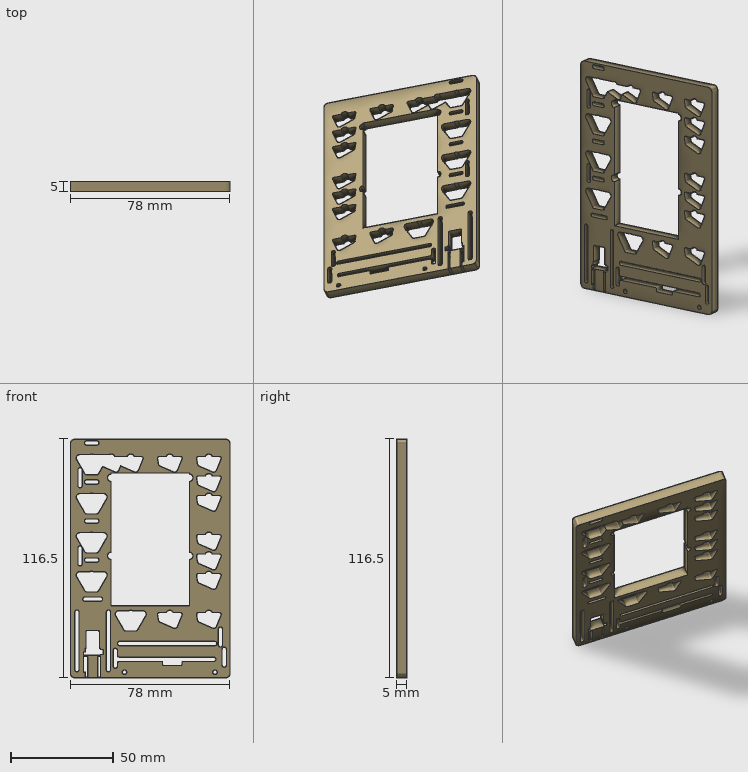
import cadquery as cq
import math

WIDTH = 78.0
THICKNESS = 5.0
HEIGHT = 116.5
CORNER_RADIUS = 2.3

WINDOW_WIDTH = 38.1
PITCH = WINDOW_WIDTH / 2
HALF_PITCH = PITCH / 2
CENTER_X = WIDTH / 2
COLUMN_X = [CENTER_X + (i - 1.5) * PITCH for i in range(4)]
BASE_ROW_Z = 31.1
TOP_ROW = 8
TRAPEZOID_ROWS = (2, 4, 6, TOP_ROW)
KITE_ROWS = (0, 2, 3, 4, 6, 7, TOP_ROW)

SIDE_ROWS = (3, 7)
SIDE_ROW_DROP = 0.1

STEM_RADIUS = 1.9
SLOT_WIDTH = 2.0

EAR_RADIUS = 1.7
WINDOW_BOTTOM = 35.3
WINDOW_TOP = 100.0

TRAPEZOID_TOP = 1.6
TRAPEZOID_BOTTOM = -8.2
TRAPEZOID_BOTTOM_HALF = 3.0
TRAPEZOID_SIDE_ANGLE = 30.0
TRAPEZOID_TOP_RADIUS = 1.6
TRAPEZOID_BOTTOM_RADIUS = 0.9

KITE_TOP_LEFT = (-6.0, 0.7)
KITE_TOP_RIGHT = (6.4, 0.7)
KITE_LOWER_RIGHT = (3.1, -7.3)
KITE_LOWER_LEFT = (-5.4, -3.6)
KITE_TOP_RADIUS = 0.8
KITE_LOWER_RADIUS = 1.4

SHORT_SLOT_LENGTH = 7.0
SHORT_SLOT_RISE = 7.3
LOWEST_SLOT_LENGTH = 9.5
LOWEST_SLOT_X = 11.0
UPRIGHT_SLOT_LENGTH = 9.7
LEFT_SLOT_X = 4.8
RIGHT_SLOT_CENTERS = ((73.3, 19.9), (75.1, 10.1))

TALL_SLOT_LENGTH = 30.0
TALL_SLOT_Z = 18.0
TALL_SLOT_XS = (3.3, 18.6)

NECK_LEFT = 7.7
NECK_RIGHT = 14.2
NECK_TOP = 23.1
NECK_RADIUS = 0.6
SHOULDER_LEFT = 7.3
SHOULDER_RIGHT = 14.7
SHOULDER_Z = 14.5
LEFT_TAB_X = 6.5
LEFT_TAB_TOP = 12.6
OPENING_BOTTOM = 11.1
RIGHT_TAB_X = 16.1
RIGHT_TAB_BOTTOM = 11.5
RIGHT_TAB_TOP = 13.7
LEG_TOP = 10.4
LEG_BOTTOM = 0.3
LEG_STEP_Z = 2.8
LEFT_LEG_RIGHT = 8.5
RIGHT_LEG_LEFT = 13.5

LONG_SLOT_LEFT = 23.1
LONG_SLOT_RIGHT = 71.5
LONG_SLOT_Z = 16.8
RAIL_RIGHT = 71.1
RAIL_Z = 9.1
RAIL_END_X = 22.0
RAIL_END_Z = 9.5
RAIL_FLARE_RADIUS = 0.9
NOTCH_LEFT = 45.1
NOTCH_RIGHT = 54.5
NOTCH_BOTTOM = 6.0
NOTCH_RADIUS = 0.6

PIN_DIAMETER = 2.1
PIN_CENTERS = ((26.5, 2.8), (70.6, 2.8))


def row_z(row):
    """Height of a grid row; rows are half a pitch apart."""
    return BASE_ROW_Z + row * HALF_PITCH


def prism(sketch):
    """Extrude an XZ sketch through the whole thickness."""
    return sketch.extrude(-THICKNESS)


def start(x, z):
    return cq.Workplane("XZ").center(x, z)


def box(left, right, bottom, top):
    sketch = start((left + right) / 2, (bottom + top) / 2)
    return prism(sketch.rect(right - left, top - bottom))


def cylinder(x, z, radius):
    return prism(start(x, z).circle(radius))


def slot(x, z, length, angle=0):
    """Round-ended slot; an angle of 90 stands it upright."""
    return prism(start(x, z).slot2D(length, SLOT_WIDTH, angle))


def upright_slot(x, z, length=UPRIGHT_SLOT_LENGTH):
    return slot(x, z, length, 90)


def edge_at(x, z):
    """Selector for the through-thickness edge at one outline corner."""
    return cq.selectors.NearestToPointSelector((x, THICKNESS / 2, z))


def fillet_corners(body, corners, radius):
    for x, z in corners:
        body = body.edges("|Y").edges(edge_at(x, z)).fillet(radius)
    return body


def trapezoid_cutout(x, z):
    """Downward-tapering key cutout with the stem circle just breaking its top edge."""
    flare = (TRAPEZOID_TOP - TRAPEZOID_BOTTOM) * math.tan(math.radians(TRAPEZOID_SIDE_ANGLE))
    top_half = TRAPEZOID_BOTTOM_HALF + flare
    top_corners = [(x + side * top_half, z + TRAPEZOID_TOP) for side in (-1, 1)]
    bottom_corners = [(x + side * TRAPEZOID_BOTTOM_HALF, z + TRAPEZOID_BOTTOM) for side in (1, -1)]
    body = prism(cq.Workplane("XZ").polyline(top_corners + bottom_corners).close())
    body = fillet_corners(body, top_corners, TRAPEZOID_TOP_RADIUS)
    body = fillet_corners(body, bottom_corners, TRAPEZOID_BOTTOM_RADIUS)
    return body.union(cylinder(x, z, STEM_RADIUS))


def kite_cutout(x, z):
    """Slanted four-sided key cutout with the stem circle bulging from its top edge."""
    top_corners = [(x + dx, z + dz) for dx, dz in (KITE_TOP_LEFT, KITE_TOP_RIGHT)]
    lower_corners = [(x + dx, z + dz) for dx, dz in (KITE_LOWER_RIGHT, KITE_LOWER_LEFT)]
    body = prism(cq.Workplane("XZ").polyline(top_corners + lower_corners).close())
    body = fillet_corners(body, top_corners, KITE_TOP_RADIUS)
    body = fillet_corners(body, lower_corners, KITE_LOWER_RADIUS)
    return body.union(cylinder(x, z, STEM_RADIUS))


def window_cutout():
    left = CENTER_X - WINDOW_WIDTH / 2
    right = CENTER_X + WINDOW_WIDTH / 2
    body = box(left, right, WINDOW_BOTTOM, WINDOW_TOP)
    for row in SIDE_ROWS:
        for x in (left, right):
            body = body.union(cylinder(x, row_z(row) - SIDE_ROW_DROP, EAR_RADIUS))
    return body


def stepped_opening():
    """Narrow neck on a wider shoulder that carries one tab on each side."""
    neck = box(NECK_LEFT, NECK_RIGHT, OPENING_BOTTOM, NECK_TOP)
    neck = fillet_corners(neck, [(NECK_LEFT, NECK_TOP), (NECK_RIGHT, NECK_TOP)], NECK_RADIUS)
    shoulder = box(SHOULDER_LEFT, SHOULDER_RIGHT, OPENING_BOTTOM, SHOULDER_Z)
    left_tab = box(LEFT_TAB_X, SHOULDER_LEFT, OPENING_BOTTOM, LEFT_TAB_TOP)
    right_tab = box(SHOULDER_RIGHT, RIGHT_TAB_X, RIGHT_TAB_BOTTOM, RIGHT_TAB_TOP)
    return neck.union(shoulder).union(left_tab).union(right_tab)


def leg_cutouts():
    """Two legs ending just above the lower edge; the left one narrows near its foot."""
    left_leg = box(LEFT_TAB_X, LEFT_LEG_RIGHT, LEG_STEP_Z, LEG_TOP)
    left_foot = box(SHOULDER_LEFT, LEFT_LEG_RIGHT, LEG_BOTTOM, LEG_STEP_Z)
    right_leg = box(RIGHT_LEG_LEFT, SHOULDER_RIGHT, LEG_BOTTOM, LEG_TOP)
    return [left_leg.union(left_foot), right_leg]


def rail_cutout():
    """Long slot joined to an upright slot on its left, with a shallow notch below."""
    half_width = SLOT_WIDTH / 2
    rail_top = RAIL_Z + half_width
    rail_bottom = RAIL_Z - half_width
    rail = slot((RAIL_END_X + RAIL_RIGHT) / 2, RAIL_Z, RAIL_RIGHT - RAIL_END_X)
    notch = box(NOTCH_LEFT, NOTCH_RIGHT, NOTCH_BOTTOM, RAIL_Z)
    body = rail.union(upright_slot(RAIL_END_X, RAIL_END_Z)).union(notch)
    junction_x = RAIL_END_X + half_width
    body = fillet_corners(body, [(junction_x, rail_top), (junction_x, rail_bottom)], RAIL_FLARE_RADIUS)
    notch_corners = [(x, z) for x in (NOTCH_LEFT, NOTCH_RIGHT) for z in (rail_bottom, NOTCH_BOTTOM)]
    return fillet_corners(body, notch_corners, NOTCH_RADIUS)


plate = box(0, WIDTH, 0, HEIGHT).edges("|Y").fillet(CORNER_RADIUS)

cutouts = [window_cutout(), stepped_opening(), rail_cutout()]
cutouts += leg_cutouts()

trapezoid_cells = [(COLUMN_X[0], row) for row in TRAPEZOID_ROWS]
trapezoid_cells.append((COLUMN_X[1], 0))
cutouts += [trapezoid_cutout(x, row_z(row)) for x, row in trapezoid_cells]

link_right = COLUMN_X[0] + HALF_PITCH
cutouts.append(box(COLUMN_X[0], link_right, row_z(TOP_ROW), row_z(TOP_ROW) + TRAPEZOID_TOP))

kite_cells = [(COLUMN_X[3], row) for row in KITE_ROWS]
kite_cells += [(COLUMN_X[2], row) for row in (0, TOP_ROW)]
kite_cells += [(x, TOP_ROW) for x in (link_right, COLUMN_X[1])]
cutouts += [kite_cutout(x, row_z(row)) for x, row in kite_cells]

cutouts += [slot(COLUMN_X[0], row_z(row) + SHORT_SLOT_RISE, SHORT_SLOT_LENGTH) for row in TRAPEZOID_ROWS]
cutouts.append(slot(LOWEST_SLOT_X, row_z(0) + SHORT_SLOT_RISE, LOWEST_SLOT_LENGTH))
cutouts += [upright_slot(LEFT_SLOT_X, row_z(row) - SIDE_ROW_DROP) for row in SIDE_ROWS]
cutouts += [upright_slot(x, z) for x, z in RIGHT_SLOT_CENTERS]
cutouts += [upright_slot(x, TALL_SLOT_Z, TALL_SLOT_LENGTH) for x in TALL_SLOT_XS]

long_slot_x = (LONG_SLOT_LEFT + LONG_SLOT_RIGHT) / 2
cutouts.append(slot(long_slot_x, LONG_SLOT_Z, LONG_SLOT_RIGHT - LONG_SLOT_LEFT))
cutouts += [cylinder(x, z, PIN_DIAMETER / 2) for x, z in PIN_CENTERS]

result = plate
for cutout in cutouts:
    result = result.cut(cutout)